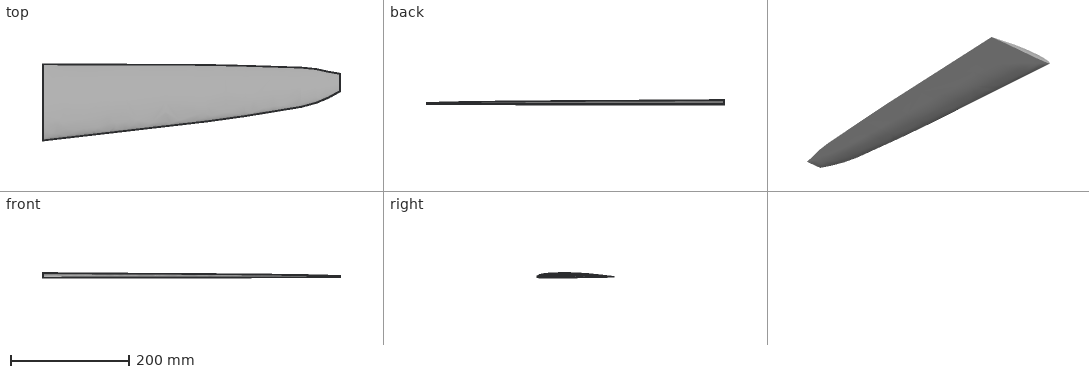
import cadquery as cq

span = 502.0
root_chord = 129.0

stations = [
    (0.0, 0.0, 0.0),
    (276.5, 32.0, 1.0),
    (341.5, 41.0, 2.5),
    (436.5, 56.5, 5.5),
    (462.0, 64.0, 8.0),
    (482.0, 72.5, 12.5),
    (span, 83.5, 16.0),
]

upper_side = [(1.75, 1.85), (7.0, 4.0), (16.0, 5.5), (42.5, 6.8), (72.0, 6.0), (90.0, 4.5), (107.0, 2.5)]
lower_side = [(2.5, -1.0), (9.0, -1.5), (27.5, -1.75), (60.5, -1.0), (90.5, -0.2)]
trailing_edge_thickness = 0.3


def section_wire(distance, leading_sweep, trailing_sweep):
    """Closed airfoil outline in the YZ plane at one distance along the span."""
    scale = (root_chord - leading_sweep - trailing_sweep) / root_chord

    def place(point):
        behind, height = point
        return cq.Vector(distance, leading_sweep + behind * scale, height * scale)

    trailing_top = (root_chord, trailing_edge_thickness / 2)
    trailing_bottom = (root_chord, -trailing_edge_thickness / 2)
    nose = (0.0, 0.0)
    outline = [trailing_top] + upper_side[::-1] + [nose] + lower_side + [trailing_bottom]
    skin = cq.Edge.makeSpline([place(point) for point in outline])
    trailing_face = cq.Edge.makeLine(place(trailing_bottom), place(trailing_top))
    return cq.Wire.assembleEdges([skin, trailing_face])


sections = [section_wire(*station) for station in stations]
wing = cq.Solid.makeLoft(sections, True)

result = cq.Workplane("XY").newObject([wing])